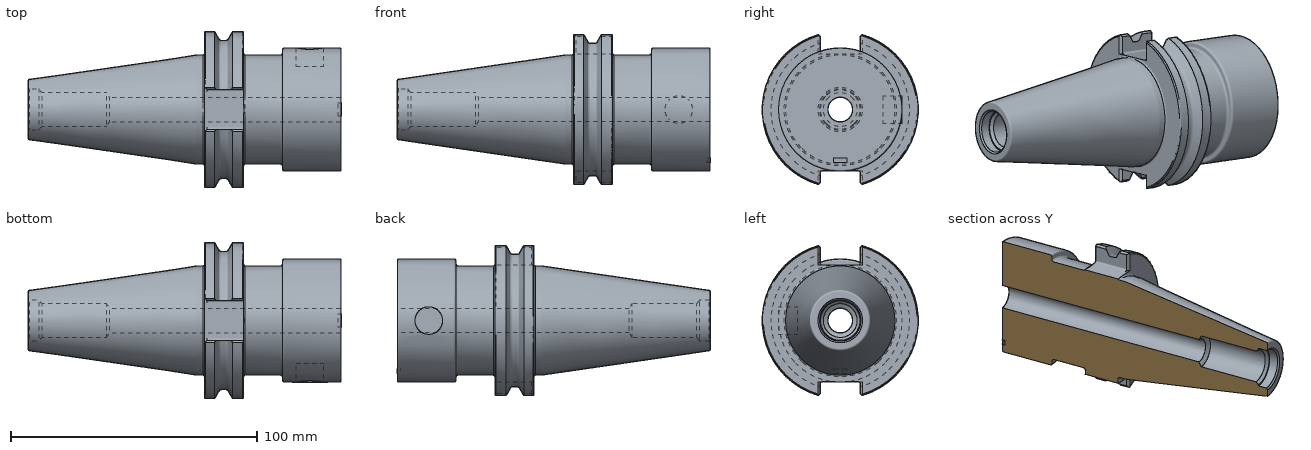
import cadquery as cq
import math


taper_length = 68.5
taper_slope = 7 / 48
gauge_diameter = 44.4
gauge_radius = gauge_diameter / 2
nose_rounding = 0.8
nose_radius = gauge_radius - taper_length * taper_slope

flange_start = 71.6
flange_width = 15.9
flange_diameter = 63.5
flange_radius = flange_diameter / 2
flange_rim_fillet = 0.5
flange_root_fillet = 0.6
flange_end = flange_start + flange_width

groove_center = 79.4
groove_bottom_radius = 28.1
groove_bottom_width = 1.9
groove_flank_angle = 30
groove_root_fillet = 1.0

slot_width = 16.2
top_slot_floor = 22.5
bottom_slot_floor = 25.0
slot_floor_fillet = 0.8
slot_edge_chamfer = 1.0

collar_start = 103.3
collar_end = 127.1
collar_radius = 25.1
collar_blend = 0.9
collar_rim_fillet = 0.5

mouth_radius = 9.0
pilot_radius = 8.4
pilot_depth = 4.5
thread_radius = 8.0
core_radius = 6.9
core_depth = 31.8
through_radius = 5.0
drill_tip_angle = 59

screw_x = 114.4
screw_radius = 5.6
screw_length = 7.6

key_width = 5.3
key_height = 1.8
key_length = 1.3
key_z = -20.6
overall_length = 127.2


def body_of_revolution():
    """Taper, flange and collar as one turned profile."""
    blend = collar_blend
    root = flange_root_fillet
    rim = flange_rim_fillet
    profile = (
        cq.Workplane("XZ")
        .moveTo(0, 0)
        .lineTo(0, nose_radius)
        .lineTo(taper_length, gauge_radius)
        .lineTo(flange_start - root, gauge_radius)
        .radiusArc((flange_start, gauge_radius + root), -root)
        .lineTo(flange_start, flange_radius - rim)
        .radiusArc((flange_start + rim, flange_radius), rim)
        .lineTo(flange_end - rim, flange_radius)
        .radiusArc((flange_end, flange_radius - rim), rim)
        .lineTo(flange_end, gauge_radius + root)
        .radiusArc((flange_end + root, gauge_radius), -root)
        .lineTo(collar_start - blend, gauge_radius)
        .radiusArc((collar_start, gauge_radius + blend), -blend)
        .lineTo(collar_start, collar_radius - blend)
        .radiusArc((collar_start + blend, collar_radius), blend)
        .lineTo(collar_end - collar_rim_fillet, collar_radius)
        .radiusArc((collar_end, collar_radius - collar_rim_fillet), collar_rim_fillet)
        .lineTo(collar_end, 0)
        .close()
    )
    turned = profile.revolve(360, (0, 0, 0), (1, 0, 0))
    return turned.faces("<X").edges().fillet(nose_rounding)


def flange_groove():
    """Ring with a V section and rounded root corners."""
    depth = flange_radius - groove_bottom_radius
    bottom_half = groove_bottom_width / 2 + groove_root_fillet * math.tan(math.radians(30))
    top_half = bottom_half + depth * math.tan(math.radians(groove_flank_angle))
    ring = (
        cq.Workplane("XZ")
        .moveTo(groove_center - bottom_half, groove_bottom_radius)
        .lineTo(groove_center + bottom_half, groove_bottom_radius)
        .lineTo(groove_center + top_half, flange_radius)
        .lineTo(groove_center - top_half, flange_radius)
        .close()
        .revolve(360, (0, 0, 0), (1, 0, 0))
    )
    root_edges = cq.selectors.RadiusNthSelector(0)
    return ring.edges(root_edges).fillet(groove_root_fillet)


def drive_slot(floor, direction):
    """Slot through the flange at one end of Z, with flared outer and front edges."""
    half = slot_width / 2
    flare = slot_edge_chamfer
    corner = math.sqrt(flange_radius**2 - half**2)
    top = flange_radius + flare
    wide = half + flare + top - corner
    length = flange_end + flange_root_fillet - taper_length
    slot = (
        cq.Workplane("YZ", origin=(taper_length, 0, 0))
        .moveTo(-half, floor)
        .lineTo(half, floor)
        .lineTo(half, corner - flare)
        .lineTo(wide, top)
        .lineTo(-wide, top)
        .lineTo(-half, corner - flare)
        .close()
        .extrude(length)
        .edges("|X and <Z")
        .fillet(slot_floor_fillet)
    )
    front_flare = (
        cq.Workplane("XY", origin=(0, 0, floor))
        .moveTo(flange_start, -half - flare)
        .lineTo(flange_start, half + flare)
        .lineTo(flange_start + flare, half)
        .lineTo(flange_start + flare, -half)
        .close()
        .extrude(flange_radius - floor)
    )
    slot = slot.union(front_flare)
    if direction < 0:
        slot = slot.mirror("XY")
    return slot


def bore():
    """Drawbar thread bore that steps down to the through hole."""
    mouth_chamfer = mouth_radius - pilot_radius
    thread_chamfer = thread_radius - core_radius
    tip_length = (core_radius - through_radius) / math.tan(math.radians(drill_tip_angle))
    return (
        cq.Workplane("XZ")
        .moveTo(0, 0)
        .lineTo(0, mouth_radius)
        .lineTo(mouth_chamfer, pilot_radius)
        .lineTo(pilot_depth, pilot_radius)
        .lineTo(pilot_depth, thread_radius)
        .lineTo(pilot_depth + thread_chamfer, core_radius)
        .lineTo(core_depth, core_radius)
        .lineTo(core_depth + tip_length, through_radius)
        .lineTo(collar_end, through_radius)
        .lineTo(collar_end, 0)
        .close()
        .revolve(360, (0, 0, 0), (1, 0, 0))
    )


def clamping_screw():
    """Cylinder on a radial axis, its outer end level with the collar."""
    start = cq.Vector(screw_x, collar_radius - screw_length, 0)
    return cq.Solid.makeCylinder(screw_radius, screw_length, start, cq.Vector(0, 1, 0))


def face_key():
    """Flat key below the tool axis, its outer face at the overall length."""
    corner = cq.Vector(overall_length - key_length, -key_width / 2, key_z - key_height / 2)
    return cq.Solid.makeBox(key_length, key_width, key_height, corner)


screw = clamping_screw()
key = face_key()

holder = (
    body_of_revolution()
    .cut(flange_groove())
    .cut(drive_slot(top_slot_floor, 1))
    .cut(drive_slot(bottom_slot_floor, -1))
    .cut(bore())
    .cut(cq.Workplane(screw))
    .cut(cq.Workplane(key))
)

result = cq.Compound.makeCompound([holder.val(), screw, key])